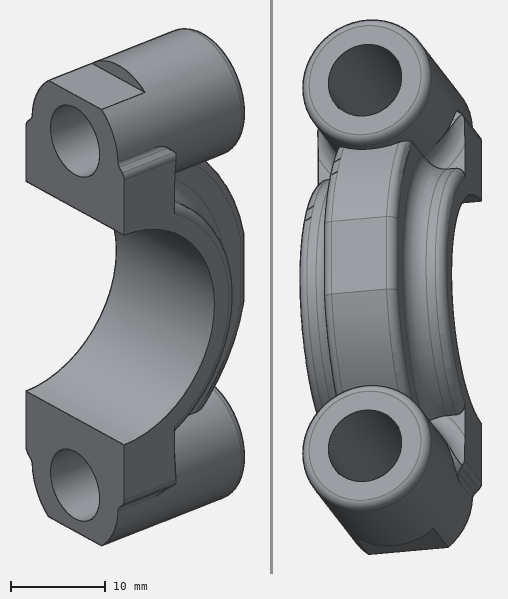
import cadquery as cq
import math

width = 16.0
bore_radius = 12.5
bolt_offset = 20.5

ring_radius = 15.5
ring_edge_fillet = 1.0
rib_radius = 20.9
rib_width = 8.0
rib_flat_y = 20.5
rib_edge_fillet = 1.0
rib_root_fillet = 2.0

barrel_radius = 7.0
barrel_length = 18.0
barrel_edge_fillet = 0.9
hole_diameter = 8.0
flat_z = 26.0
flat_length = 6.0

block_depth = 7.0
block_inner_z = 10.0
shoulder_edge_fillet = 1.0
shoulder_root_fillet = 0.75

flare_radius = 2.0
flare_tip_z = 16.0
round_off_start_y = 5.2
round_off_end_y = 7.75
round_off_end_z = 19.0

half_width = width / 2
flare_tip_y = block_depth + flare_radius

diagonal = math.sqrt(0.5)
root_reach = barrel_radius + shoulder_root_fillet
slope_reach = barrel_radius * diagonal + shoulder_root_fillet
root_angle = math.radians(45) - math.acos(slope_reach / root_reach)
shoulder_top_x = barrel_radius * math.cos(root_angle)
shoulder_top_z = bolt_offset + barrel_radius * math.sin(root_angle)


def half_disc(radius, thickness):
    """Half disc about the X axis, on the +Y side of the split face and centred on x = 0."""
    disc = cq.Workplane("YZ").circle(radius).extrude(thickness / 2, both=True)
    keep = cq.Workplane("XY").box(thickness, radius, 2 * radius, centered=(True, False, True))
    return disc.intersect(keep)


def ring_with_rib():
    """Ring and rib, joined by coves, with rounded outer edges and a flat on the rib's crown."""
    ring = half_disc(ring_radius, width)
    ring = ring.edges("%CIRCLE").fillet(ring_edge_fillet)
    rib = half_disc(rib_radius, rib_width)
    rib = rib.edges("%CIRCLE").fillet(rib_edge_fillet)
    rib_limit = cq.Workplane("XY").box(
        rib_width, rib_flat_y, 2 * rib_radius, centered=(True, False, True)
    )
    rib_limit = rib_limit.edges("|Z and >Y").fillet(rib_edge_fillet)
    rib = rib.intersect(rib_limit)
    cove_start = rib_width / 2
    cove_end = cove_start + rib_root_fillet
    cove_top = ring_radius + rib_root_fillet
    core_radius = ring_radius - ring_edge_fillet
    cove_section = (
        cq.Workplane("XY")
        .moveTo(0, core_radius)
        .lineTo(cove_end, core_radius)
        .lineTo(cove_end, ring_radius)
        .radiusArc((cove_start, cove_top), rib_root_fillet)
        .lineTo(0, cove_top)
        .close()
    )
    cove = cove_section.revolve(180, (0, 0, 0), (1, 0, 0))
    cove = cove.rotate((0, 0, 0), (1, 0, 0), -90)
    cove = cove.union(cove.mirror("YZ"))
    return ring.union(rib).union(cove)


def barrel():
    """Cylinder about the bolt axis with a rounded back edge."""
    cylinder = (
        cq.Workplane("XZ", origin=(0, 0, bolt_offset))
        .circle(barrel_radius)
        .extrude(-barrel_length)
    )
    return cylinder.faces(">Y").edges().fillet(barrel_edge_fillet)


def block(depth):
    """Block with 45-degree shoulders that run tangentially into the barrel through concave roots."""
    root_centre_x = root_reach * math.cos(root_angle)
    root_centre_z = bolt_offset + root_reach * math.sin(root_angle)
    root_low_x = root_centre_x - shoulder_root_fillet * diagonal
    root_low_z = root_centre_z - shoulder_root_fillet * diagonal
    corner_z = bolt_offset - (half_width - barrel_radius)
    solid = (
        cq.Workplane("XZ")
        .moveTo(-half_width, block_inner_z)
        .lineTo(half_width, block_inner_z)
        .lineTo(half_width, corner_z)
        .lineTo(root_low_x, root_low_z)
        .radiusArc((shoulder_top_x, shoulder_top_z), shoulder_root_fillet)
        .lineTo(-shoulder_top_x, shoulder_top_z)
        .radiusArc((-root_low_x, root_low_z), shoulder_root_fillet)
        .lineTo(-half_width, corner_z)
        .close()
        .extrude(-depth)
    )
    for side in (-1, 1):
        corner = cq.selectors.NearestToPointSelector((side * half_width, depth / 2, corner_z))
        solid = solid.edges(corner).fillet(shoulder_edge_fillet)
    return solid


def flare():
    """Disc about the bolt axis with a concave rim that sweeps from the block onto the barrel."""
    outer_radius = barrel_radius + flare_radius
    section = (
        cq.Workplane("XY")
        .moveTo(0, block_depth)
        .lineTo(outer_radius, block_depth)
        .radiusArc((barrel_radius, flare_tip_y), flare_radius)
        .lineTo(0, flare_tip_y)
        .close()
    )
    return section.revolve(360, (0, 0, 0), (0, 1, 0)).translate((0, 0, bolt_offset))


def flared_block():
    """Block with its flare, trimmed by an arc and a slope from the shoulder to the flare's tip."""
    solid = block(block_depth).union(flare().intersect(block(flare_tip_y)))
    round_off_limit = (
        cq.Workplane("YZ")
        .moveTo(0, block_inner_z)
        .lineTo(flare_tip_y, block_inner_z)
        .lineTo(flare_tip_y, flare_tip_z)
        .lineTo(round_off_end_y, round_off_end_z)
        .tangentArcPoint((round_off_start_y, shoulder_top_z), relative=False)
        .lineTo(0, shoulder_top_z)
        .close()
        .extrude(half_width, both=True)
    )
    return solid.intersect(round_off_limit)


def clamp_end():
    """Barrel and flared block of the +Z end, with the outer flat, before drilling."""
    flat_cut = cq.Workplane("XY", origin=(0, 0, flat_z)).box(
        width, flat_length, barrel_radius, centered=(True, False, False)
    )
    return barrel().union(flared_block()).cut(flat_cut)


def clamp():
    """Ring with both ends, bored and drilled."""
    end = clamp_end()
    body = ring_with_rib().union(end).union(end.mirror("XY"))
    bore = cq.Workplane("YZ").circle(bore_radius).extrude(half_width, both=True)
    holes = (
        cq.Workplane("XZ")
        .pushPoints([(0, bolt_offset), (0, -bolt_offset)])
        .circle(hole_diameter / 2)
        .extrude(-barrel_length)
    )
    return body.cut(bore).cut(holes)


result = clamp()